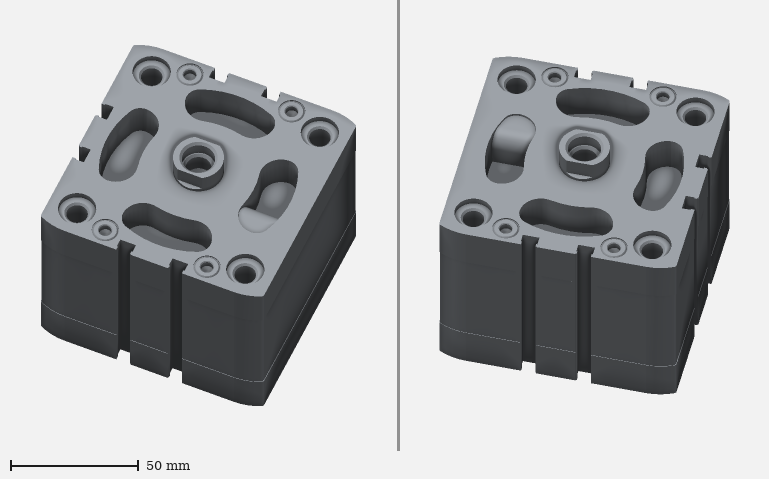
import cadquery as cq
import math

WIDTH = 95.5
TOTAL_HEIGHT = 82.9
HOUSING_HEIGHT = 74.0
CAP_HEIGHT = 16.3
BARREL_INSET = 0.2

CORNER_FLAT_X = 36.3
CAP_CORNER_RADIUS = 24.4
CAP_CORNER_ROUND = 1.1
BARREL_CORNER_ROUND = 1.5

SLOT_OFFSET = 11.2
SLOT_MOUTH_WIDTH = 5.7
SLOT_INNER_WIDTH = 6.7
SLOT_LIP = 1.5
SLOT_DEPTH = 5.1
SLOT_MOUTH_STEP = 0.4

CORNER_HOLE_OFFSET = 36.0
COUNTERBORE_DIAMETER = 15.0
COUNTERBORE_DEPTH = 2.8
THROUGH_DIAMETER = 8.4
THROUGH_MOUTH_DIAMETER = 10.0

SCREW_X = 21.8
SCREW_Y = 40.9
GROOVE_DIAMETER = 10.7
HEAD_TOP_DIAMETER = 9.0
HEAD_BASE_DIAMETER = 10.0
GROOVE_DEPTH = 0.6
SOCKET_MOUTH_DIAMETER = 5.7
SOCKET_DIAMETER = 5.0
SOCKET_DEPTH = 2.9
SOCKET_POINT_ANGLE = 140.0

POCKET_OUTER_RADIUS = 39.1
POCKET_LOBE_X = 30.8
POCKET_LOBE_Y = 10.1
POCKET_LOBE_RADIUS = 8.6
POCKET_NECK_RADIUS = 35.3
POCKET_END_RADIUS = 5.7
POCKET_DEPTH = 14.3
POCKET_DRAFT = 2.5

BOSS_AXIS_Y = -11.3
BOSS_RADIUS = 6.5
BOSS_TOP_DEPTH = 1.0

ROD_DIAMETER = 20.0
ROD_FLATS = 17.0
FLAT_HEIGHT = 7.0
FLAT_RUNOUT_ANGLE = 25.0
BORE_MOUTH_DIAMETER = 15.0
BORE_DIAMETER = 13.0
BORE_DEPTH = 5.9
DRILL_MOUTH_DIAMETER = 12.0
DRILL_DIAMETER = 10.1
DRILL_DEPTH = 14.3
DRILL_POINT_ANGLE = 118.0


def polar(radius, angle):
    return radius * math.cos(angle), radius * math.sin(angle)


def point_towards(start, target, distance):
    """The point at a distance from start on the line to target."""
    angle = math.atan2(target[1] - start[1], target[0] - start[0])
    return start[0] + distance * math.cos(angle), start[1] + distance * math.sin(angle)


def mirrored(point):
    return point[0], -point[1]


def cone_depth(wide_diameter, narrow_diameter, included_angle=90.0):
    """The height of a conical step between two diameters."""
    return (wide_diameter - narrow_diameter) / 2 / math.tan(math.radians(included_angle / 2))


def revolved(profile):
    """A solid of revolution about Z from (radius, height) points."""
    return cq.Workplane("XZ").polyline(profile).close().revolve(360, (0, 0, 0), (0, 1, 0))



def rounded_block(half_width, corner_round, bottom, height):
    """A block whose four corners follow the large arc and the small round."""
    arc_centre_y = half_width - CAP_CORNER_RADIUS
    arc_drop = math.sqrt(CAP_CORNER_RADIUS**2 - (half_width - CORNER_FLAT_X) ** 2)
    corner_y = arc_centre_y + arc_drop
    middle_angle = (math.pi / 2 + math.atan2(arc_drop, half_width - CORNER_FLAT_X)) / 2
    middle_x, middle_y = polar(CAP_CORNER_RADIUS, middle_angle)
    arc_x, arc_y = CORNER_FLAT_X + middle_x, arc_centre_y + middle_y
    return (
        cq.Workplane("XY", origin=(0, 0, bottom))
        .moveTo(CORNER_FLAT_X, half_width)
        .threePointArc((arc_x, arc_y), (half_width, corner_y))
        .lineTo(half_width, -corner_y)
        .threePointArc((arc_x, -arc_y), (CORNER_FLAT_X, -half_width))
        .lineTo(-CORNER_FLAT_X, -half_width)
        .threePointArc((-arc_x, -arc_y), (-half_width, -corner_y))
        .lineTo(-half_width, corner_y)
        .threePointArc((-arc_x, arc_y), (-CORNER_FLAT_X, half_width))
        .close()
        .extrude(height)
        .edges("|Z and (<X or >X)")
        .fillet(corner_round)
    )


def t_slot():
    """One T-slot on the -Y side, to the right of the middle of that face."""
    outer_face = -WIDTH / 2
    step_bottom = outer_face + SLOT_MOUTH_STEP
    lip_bottom = outer_face + SLOT_LIP
    slot_bottom = outer_face + SLOT_DEPTH
    mouth_near = SLOT_OFFSET - SLOT_MOUTH_WIDTH / 2
    mouth_far = SLOT_OFFSET + SLOT_MOUTH_WIDTH / 2
    inner_near = SLOT_OFFSET - SLOT_INNER_WIDTH / 2
    inner_far = SLOT_OFFSET + SLOT_INNER_WIDTH / 2
    return (
        cq.Workplane("XY")
        .polyline([
            (mouth_near - SLOT_MOUTH_STEP, outer_face),
            (mouth_near - SLOT_MOUTH_STEP, step_bottom),
            (mouth_near, step_bottom),
            (mouth_near, lip_bottom),
            (inner_near, lip_bottom),
            (inner_near, slot_bottom),
            (inner_far, slot_bottom),
            (inner_far, lip_bottom),
            (mouth_far, lip_bottom),
            (mouth_far, outer_face),
        ])
        .close()
        .extrude(HOUSING_HEIGHT)
    )


def t_slots():
    """A mirrored pair of T-slots on each of the -Y, -X and +Y sides."""
    slot = t_slot()
    pair = slot.union(slot.mirror("YZ"))
    slots = pair
    for angle in (-90, 180):
        slots = slots.union(pair.rotate((0, 0, 0), (0, 0, 1), angle))
    return slots


def corner_hole():
    seat = HOUSING_HEIGHT - COUNTERBORE_DEPTH
    chamfer_end = seat - cone_depth(THROUGH_MOUTH_DIAMETER, THROUGH_DIAMETER)
    return revolved([
        (0, 0),
        (THROUGH_DIAMETER / 2, 0),
        (THROUGH_DIAMETER / 2, chamfer_end),
        (THROUGH_MOUTH_DIAMETER / 2, seat),
        (COUNTERBORE_DIAMETER / 2, seat),
        (COUNTERBORE_DIAMETER / 2, HOUSING_HEIGHT),
        (0, HOUSING_HEIGHT),
    ])


def screw_head_groove():
    floor = HOUSING_HEIGHT - GROOVE_DEPTH
    return revolved([
        (HEAD_TOP_DIAMETER / 2, HOUSING_HEIGHT),
        (HEAD_BASE_DIAMETER / 2, floor),
        (GROOVE_DIAMETER / 2, floor),
        (GROOVE_DIAMETER / 2, HOUSING_HEIGHT),
    ])


def screw_socket():
    chamfer_end = HOUSING_HEIGHT - cone_depth(SOCKET_MOUTH_DIAMETER, SOCKET_DIAMETER)
    cone_top = HOUSING_HEIGHT - SOCKET_DEPTH
    return revolved([
        (0, HOUSING_HEIGHT),
        (SOCKET_MOUTH_DIAMETER / 2, HOUSING_HEIGHT),
        (SOCKET_DIAMETER / 2, chamfer_end),
        (SOCKET_DIAMETER / 2, cone_top),
        (0, cone_top - cone_depth(SOCKET_DIAMETER, 0, SOCKET_POINT_ANGLE)),
    ])


def kidney_pocket():
    """The +X pocket: outer arc about the rod axis, a waisted inner side and rounded lobes."""
    lobe = (POCKET_LOBE_X, POCKET_LOBE_Y)
    neck_reach = math.sqrt((POCKET_NECK_RADIUS + POCKET_LOBE_RADIUS) ** 2 - POCKET_LOBE_Y**2)
    neck_centre = (POCKET_LOBE_X - neck_reach, 0)
    neck_tip = (neck_centre[0] + POCKET_NECK_RADIUS, 0)
    neck_end = point_towards(neck_centre, lobe, POCKET_NECK_RADIUS)

    lobe_distance = math.hypot(*lobe)
    lobe_angle = math.atan2(POCKET_LOBE_Y, POCKET_LOBE_X)
    end_distance = POCKET_OUTER_RADIUS - POCKET_END_RADIUS
    end_gap = POCKET_LOBE_RADIUS - POCKET_END_RADIUS
    turn = math.acos(
        (lobe_distance**2 + end_distance**2 - end_gap**2) / (2 * lobe_distance * end_distance)
    )
    end_centre = polar(end_distance, lobe_angle + turn)
    outer_end = polar(POCKET_OUTER_RADIUS, lobe_angle + turn)
    lobe_end = point_towards(lobe, end_centre, POCKET_LOBE_RADIUS)

    def arc_middle(centre, first, last, radius):
        chord_middle = ((first[0] + last[0]) / 2, (first[1] + last[1]) / 2)
        return point_towards(centre, chord_middle, radius)

    end_middle = arc_middle(end_centre, outer_end, lobe_end, POCKET_END_RADIUS)
    lobe_middle = arc_middle(lobe, lobe_end, neck_end, POCKET_LOBE_RADIUS)
    return (
        cq.Workplane("XY", origin=(0, 0, HOUSING_HEIGHT))
        .moveTo(*mirrored(outer_end))
        .threePointArc((POCKET_OUTER_RADIUS, 0), outer_end)
        .threePointArc(end_middle, lobe_end)
        .threePointArc(lobe_middle, neck_end)
        .threePointArc(neck_tip, mirrored(neck_end))
        .threePointArc(mirrored(lobe_middle), mirrored(lobe_end))
        .threePointArc(mirrored(end_middle), mirrored(outer_end))
        .close()
        .extrude(-POCKET_DEPTH, taper=POCKET_DRAFT)
    )


def pocket_boss():
    """A round-shouldered block along X that leaves the -Y end of the pocket shallow."""
    top = HOUSING_HEIGHT - BOSS_TOP_DEPTH
    floor = HOUSING_HEIGHT - POCKET_DEPTH
    shoulder_y = BOSS_AXIS_Y + BOSS_RADIUS
    axis_z = top - BOSS_RADIUS
    wall_slope = (axis_z - floor) * math.tan(math.radians(POCKET_DRAFT))
    arc_y, arc_z = polar(BOSS_RADIUS, math.pi / 4)
    return (
        cq.Workplane("YZ")
        .moveTo(shoulder_y + wall_slope, floor)
        .lineTo(shoulder_y, axis_z)
        .threePointArc((BOSS_AXIS_Y + arc_y, axis_z + arc_z), (BOSS_AXIS_Y, top))
        .lineTo(-WIDTH / 2, top)
        .lineTo(-WIDTH / 2, floor)
        .close()
        .extrude(WIDTH / 2)
    )


def rod_guide():
    return (
        cq.Workplane("XY", origin=(0, 0, HOUSING_HEIGHT - CAP_HEIGHT))
        .circle(ROD_DIAMETER / 2)
        .extrude(CAP_HEIGHT)
    )


def make_housing():
    half_width = WIDTH / 2
    barrel_height = HOUSING_HEIGHT - 2 * CAP_HEIGHT
    body = rounded_block(half_width, CAP_CORNER_ROUND, 0, CAP_HEIGHT)
    body = body.union(
        rounded_block(half_width - BARREL_INSET, BARREL_CORNER_ROUND, CAP_HEIGHT, barrel_height)
    )
    body = body.union(
        rounded_block(half_width, CAP_CORNER_ROUND, HOUSING_HEIGHT - CAP_HEIGHT, CAP_HEIGHT)
    )
    body = body.cut(t_slots()).cut(rod_guide())

    for x_side in (-1, 1):
        for y_side in (-1, 1):
            hole_place = (x_side * CORNER_HOLE_OFFSET, y_side * CORNER_HOLE_OFFSET, 0)
            screw_place = (x_side * SCREW_X, y_side * SCREW_Y, 0)
            body = body.cut(corner_hole().translate(hole_place))
            body = body.cut(screw_head_groove().translate(screw_place))
            body = body.cut(screw_socket().translate(screw_place))

    pocket = kidney_pocket()
    body = body.cut(pocket.cut(pocket_boss()))
    for angle in (90, 180, 270):
        body = body.cut(pocket.rotate((0, 0, 0), (0, 0, 1), angle))
    return body



def wrench_flat():
    """Material removed for the +Y flat, with a floor that slopes down towards the outside."""
    flat_y = ROD_FLATS / 2
    outside_y = ROD_DIAMETER
    flat_bottom = TOTAL_HEIGHT - FLAT_HEIGHT
    slope_drop = (outside_y - flat_y) * math.tan(math.radians(FLAT_RUNOUT_ANGLE))
    return (
        cq.Workplane("YZ")
        .polyline([
            (flat_y, flat_bottom),
            (flat_y, TOTAL_HEIGHT),
            (outside_y, TOTAL_HEIGHT),
            (outside_y, flat_bottom - slope_drop),
        ])
        .close()
        .extrude(ROD_DIAMETER / 2, both=True)
    )


def rod_bore():
    """The threaded mouth, its chamfer, and the narrower drilled hole with its point."""
    mouth_end = TOTAL_HEIGHT - cone_depth(BORE_MOUTH_DIAMETER, BORE_DIAMETER)
    bore_end = TOTAL_HEIGHT - BORE_DEPTH
    step_end = bore_end - cone_depth(DRILL_MOUTH_DIAMETER, DRILL_DIAMETER)
    drill_end = TOTAL_HEIGHT - DRILL_DEPTH
    return revolved([
        (0, TOTAL_HEIGHT),
        (BORE_MOUTH_DIAMETER / 2, TOTAL_HEIGHT),
        (BORE_DIAMETER / 2, mouth_end),
        (BORE_DIAMETER / 2, bore_end),
        (DRILL_MOUTH_DIAMETER / 2, bore_end),
        (DRILL_DIAMETER / 2, step_end),
        (DRILL_DIAMETER / 2, drill_end),
        (0, drill_end - cone_depth(DRILL_DIAMETER, 0, DRILL_POINT_ANGLE)),
    ])


def make_piston_rod():
    bottom = HOUSING_HEIGHT - CAP_HEIGHT
    rod = (
        cq.Workplane("XY", origin=(0, 0, bottom))
        .circle(ROD_DIAMETER / 2)
        .extrude(TOTAL_HEIGHT - bottom)
    )
    flat = wrench_flat()
    return rod.cut(flat).cut(flat.mirror("XZ")).cut(rod_bore())


housing = make_housing()
piston_rod = make_piston_rod()

result = cq.Compound.makeCompound([housing.val(), piston_rod.val()])